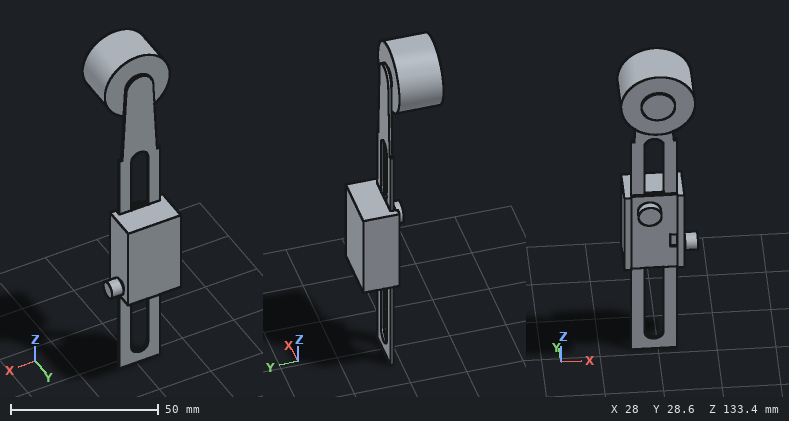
import cadquery as cq
import math

arm_width = 15.7
arm_thickness = 1.1
shoulder_z = 91.5
taper_width = 13.5
tip_radius = 5.2
slot_width = 6.5
slot_bottom = 4.4
slot_top = 92.4

total_height = 133.4
roller_radius = 12.7
roller_length = 15.7
roller_gap = 0.7
spacer_diameter = 7.5
axle_head_diameter = 11.5
axle_head_length = 0.7
roller_z = total_height - roller_radius

block_width = 20.5
block_bottom = 36.4
block_height = 31.7
block_rear = 10.4
block_front = -2.5
cover_thickness = 0.8
cover_front = -arm_thickness - cover_thickness
window_width = 2.4
window_height = 5.3
window_z = 47.9

knob_x = -1.7
knob_z = 61.9
knob_diameter = 7.9
knob_front = -5.5
knob_neck_diameter = 6.0
knob_neck_length = cover_front - block_front

screw_y = 5.2
screw_z = 41.5
screw_neck_diameter = 4.3
screw_neck_length = 0.7
screw_head_diameter = 6.3
screw_head_length = 4.4


def box(width, rear, front, bottom, height, x=0):
    """Box centred on x, between the front and rear faces."""
    return (
        cq.Workplane("XY")
        .box(width, rear - front, height, centered=(True, False, False))
        .translate((x, front, bottom))
    )


def cylinder_y(diameter, rear, front, x, z):
    """Cylinder along Y, between the front and rear faces."""
    solid = cq.Solid.makeCylinder(diameter / 2, rear - front, cq.Vector(x, front, z), cq.Vector(0, 1, 0))
    return cq.Workplane(obj=solid)


def cylinder_x(diameter, start, length):
    """Cylinder along X on the clamping screw axis."""
    base = cq.Vector(start, screw_y, screw_z)
    return cq.Workplane(obj=cq.Solid.makeCylinder(diameter / 2, length, base, cq.Vector(1, 0, 0)))


def make_arm():
    half_taper = taper_width / 2
    rise = roller_z - shoulder_z
    reach = math.hypot(half_taper, rise)
    tangent_angle = math.acos(tip_radius / reach) - math.atan2(rise, half_taper)
    tangent_x = tip_radius * math.cos(tangent_angle)
    tangent_z = roller_z + tip_radius * math.sin(tangent_angle)
    plate = (
        cq.Workplane("XZ")
        .moveTo(-arm_width / 2, 0)
        .lineTo(arm_width / 2, 0)
        .lineTo(arm_width / 2, shoulder_z)
        .lineTo(half_taper, shoulder_z)
        .lineTo(tangent_x, tangent_z)
        .threePointArc((0, roller_z + tip_radius), (-tangent_x, tangent_z))
        .lineTo(-half_taper, shoulder_z)
        .lineTo(-arm_width / 2, shoulder_z)
        .close()
        .extrude(arm_thickness)
    )
    slot = (
        cq.Workplane("XZ")
        .center(0, (slot_bottom + slot_top) / 2)
        .slot2D(slot_top - slot_bottom, slot_width, 90)
        .extrude(arm_thickness)
    )
    return plate.cut(slot)


def make_roller():
    roller_rear = -arm_thickness - roller_gap
    roller_front = roller_rear - roller_length
    spacer = cylinder_y(spacer_diameter, -arm_thickness, roller_rear, 0, roller_z)
    roller = cylinder_y(2 * roller_radius, roller_rear, roller_front, 0, roller_z)
    head = cylinder_y(axle_head_diameter, roller_front, roller_front - axle_head_length, 0, roller_z)
    return spacer.union(roller).union(head)


def make_block():
    body = box(block_width, block_rear, block_front, block_bottom, block_height)
    channel = box(arm_width, 0, block_front, block_bottom, block_height)
    cover = box(arm_width, -arm_thickness, cover_front, block_bottom, block_height)
    window = box(
        window_width,
        -arm_thickness,
        cover_front,
        window_z - window_height / 2,
        window_height,
        (arm_width - window_width) / 2,
    )
    return body.cut(channel).union(cover.cut(window))


def make_knob():
    neck_front = cover_front - knob_neck_length
    neck = cylinder_y(knob_neck_diameter, cover_front, neck_front, knob_x, knob_z)
    head = cylinder_y(knob_diameter, neck_front, knob_front, knob_x, knob_z)
    return neck.union(head)


def make_screw():
    neck = cylinder_x(screw_neck_diameter, block_width / 2, screw_neck_length)
    head = cylinder_x(screw_head_diameter, block_width / 2 + screw_neck_length, screw_head_length)
    return neck.union(head)


result = make_arm().union(make_block()).union(make_roller()).union(make_knob()).union(make_screw())